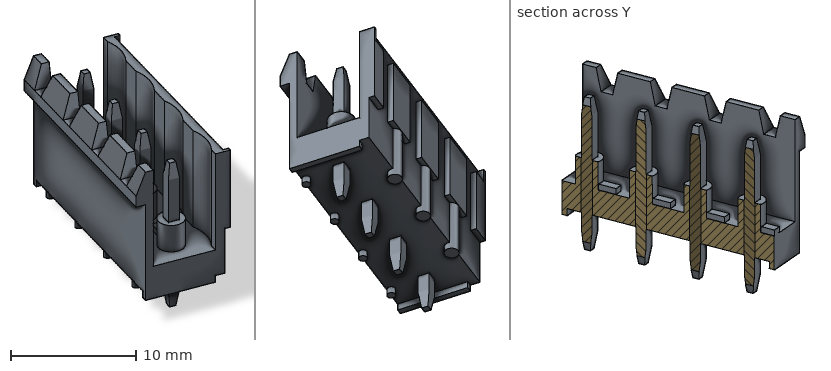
import cadquery as cq


LENGTH = 19.92
PITCH = 5.08
PIN_COUNT = 4
pin_xs = [(i - (PIN_COUNT - 1) / 2) * PITCH for i in range(PIN_COUNT)]
between_pin_xs = [x + PITCH / 2 for x in pin_xs[:-1]]

HEIGHT = 12.0
FLOOR_TOP = 3.0
FLOOR_UNDERSIDE = 0.62
CHANNEL_WIDTH = 5.54
BACK_WALL_THICKNESS = 0.84
FRONT_WALL_THICKNESS = 0.7
wall_inner = CHANNEL_WIDTH / 2
back_face = wall_inner + BACK_WALL_THICKNESS
front_face = -wall_inner - FRONT_WALL_THICKNESS

LIP_OVERHANG = 0.84
LIP_BOTTOM = 8.95
LIP_FACE_TOP = 9.98
lip_front = front_face - LIP_OVERHANG

NOTCH_TOP_WIDTH = 2.01
NOTCH_BOTTOM_WIDTH = 1.1
NOTCH_OFFSET = 0.05

SCALLOP_WIDTH = 3.3
SCALLOP_DEPTH = 0.35

TOWER_DIAMETER = 2.3
TOWER_TOP = 5.48
RIB_WIDTH = 0.75
RIB_TOP = 3.53
RIB_REACH = 2.75

RELIEF_DEPTH = 0.5
RELIEF_BOTTOM = 4.78
END_STRIP_WIDTH = 0.32
END_PAD_WIDTH = 1.65
PAD_WIDTH = 2.99
PAD_TOP = 10.75
relief_back = back_face + RELIEF_DEPTH

FOOT_WIDTH = 0.5
BACK_PEG_DIAMETER = 1.2
FRONT_PEG_DIAMETER = 0.7

PIN_WIDTH = 1.0
PIN_TIP_WIDTH = 0.55
PIN_TOP = 10.84
PIN_TOP_TAPER_START = 9.38
PIN_BOTTOM_TAPER_START = -1.1
PIN_BOTTOM = -2.6


def block(x_min, x_max, y_min, y_max, z_min, z_max):
    """A box given by its limits along each axis."""
    size = (x_max - x_min, y_max - y_min, z_max - z_min)
    return cq.Workplane("XY").box(*size, centered=False).translate((x_min, y_min, z_min))


def cylinder(x, y, diameter, z_min, z_max):
    """A vertical cylinder."""
    return cq.Workplane("XY", origin=(x, y, z_min)).circle(diameter / 2).extrude(z_max - z_min)


def make_shell():
    """The U-shaped trough with its latch lip and two end feet."""
    outline = [
        (back_face, FLOOR_UNDERSIDE),
        (back_face, HEIGHT),
        (wall_inner, HEIGHT),
        (wall_inner, FLOOR_TOP),
        (-wall_inner, FLOOR_TOP),
        (-wall_inner, HEIGHT),
        (front_face, HEIGHT),
        (lip_front, LIP_FACE_TOP),
        (lip_front, LIP_BOTTOM),
        (front_face, LIP_BOTTOM),
        (front_face, FLOOR_UNDERSIDE),
    ]
    shell = cq.Workplane("YZ", origin=(-LENGTH / 2, 0, 0)).polyline(outline).close().extrude(LENGTH)
    for x in (-LENGTH / 2, LENGTH / 2 - FOOT_WIDTH):
        shell = shell.union(block(x, x + FOOT_WIDTH, front_face, wall_inner, 0, FLOOR_UNDERSIDE))
    return shell


def make_notch(x):
    """Cutter for one tapered notch through the front wall above the lip face."""
    return (
        cq.Workplane("XZ", origin=(x + NOTCH_OFFSET, -wall_inner, 0))
        .moveTo(-NOTCH_TOP_WIDTH / 2, HEIGHT)
        .lineTo(NOTCH_TOP_WIDTH / 2, HEIGHT)
        .lineTo(NOTCH_BOTTOM_WIDTH / 2, LIP_FACE_TOP)
        .lineTo(-NOTCH_BOTTOM_WIDTH / 2, LIP_FACE_TOP)
        .close()
        .extrude(FRONT_WALL_THICKNESS + LIP_OVERHANG)
    )


def make_scallop(x):
    """Cutter for one shallow round hollow in the back wall, from the floor up."""
    return (
        cq.Workplane("XY", origin=(x, wall_inner, FLOOR_TOP))
        .moveTo(-SCALLOP_WIDTH / 2, 0)
        .threePointArc((0, SCALLOP_DEPTH), (SCALLOP_WIDTH / 2, 0))
        .close()
        .extrude(HEIGHT - FLOOR_TOP)
    )


def make_tower_and_rib(x):
    """The round tower that holds a pin and the rib on its left, cut short at the housing end."""
    rib_start = max(x - RIB_REACH, -LENGTH / 2)
    rib = block(rib_start, x, -RIB_WIDTH / 2, RIB_WIDTH / 2, FLOOR_TOP, RIB_TOP)
    return cylinder(x, 0, TOWER_DIAMETER, FLOOR_TOP, TOWER_TOP).union(rib)


def make_back_relief():
    """Full-height strips at both ends of the back wall, with lower pads between them."""
    end = LENGTH / 2
    strip_inner = end - END_STRIP_WIDTH
    pad_inner = end - END_PAD_WIDTH
    relief = block(-end, -strip_inner, back_face, relief_back, RELIEF_BOTTOM, HEIGHT)
    relief = relief.union(block(strip_inner, end, back_face, relief_back, RELIEF_BOTTOM, HEIGHT))
    pad_limits = [(-strip_inner, -pad_inner), (pad_inner, strip_inner)]
    pad_limits += [(x - PAD_WIDTH / 2, x + PAD_WIDTH / 2) for x in between_pin_xs]
    for x_min, x_max in pad_limits:
        relief = relief.union(block(x_min, x_max, back_face, relief_back, RELIEF_BOTTOM, PAD_TOP))
    return relief


def make_pin(x):
    """One square pin, tapered at both ends."""
    shank_length = PIN_TOP_TAPER_START - PIN_BOTTOM_TAPER_START
    shank = (
        cq.Workplane("XY", origin=(x, 0, PIN_BOTTOM_TAPER_START))
        .rect(PIN_WIDTH, PIN_WIDTH)
        .extrude(shank_length)
    )
    for start, end in ((PIN_TOP_TAPER_START, PIN_TOP), (PIN_BOTTOM_TAPER_START, PIN_BOTTOM)):
        tip = (
            cq.Workplane("XY", origin=(x, 0, start))
            .rect(PIN_WIDTH, PIN_WIDTH)
            .workplane(offset=end - start)
            .rect(PIN_TIP_WIDTH, PIN_TIP_WIDTH)
            .loft(ruled=True)
        )
        shank = shank.union(tip)
    return shank


def make_housing(pins):
    """The complete housing, with a square hole for each pin."""
    housing = make_shell().union(make_back_relief())
    front_peg_y = front_face + FRONT_PEG_DIAMETER / 2
    back_peg_y = relief_back - BACK_PEG_DIAMETER / 2
    for x in pin_xs:
        housing = housing.cut(make_notch(x)).cut(make_scallop(x)).union(make_tower_and_rib(x))
        housing = housing.union(cylinder(x, front_peg_y, FRONT_PEG_DIAMETER, 0, FLOOR_UNDERSIDE))
    for x in between_pin_xs:
        housing = housing.union(cylinder(x, back_peg_y, BACK_PEG_DIAMETER, 0, RELIEF_BOTTOM))
    for pin in pins:
        housing = housing.cut(pin)
    return housing


pins = [make_pin(x) for x in pin_xs]
housing = make_housing(pins)

result = cq.Compound.makeCompound([housing.val(), *[pin.val() for pin in pins]])